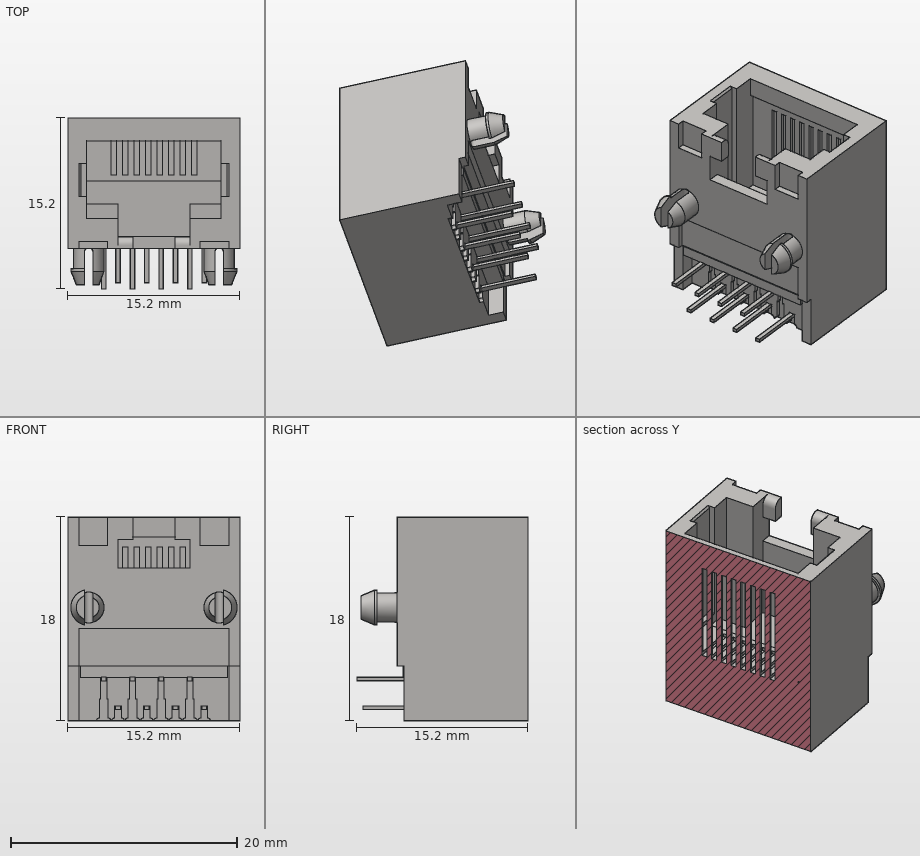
import cadquery as cq


WIDTH = 15.24
HEIGHT = 18.03
DEPTH = 11.58
FOOT_STEP_HEIGHT = 4.83
FOOT_STEP_DEPTH = 0.6

CAVITY_WIDTH = 11.9
CAVITY_FRONT = 2.67
CAVITY_LIP_BACK = 9.54
CAVITY_BACK = 9.9
LIP_BOTTOM = 16.26
REAR_FLOOR = 6.49
FRONT_FLOOR = 5.95
FLOOR_STEP_Y = 5.97
SHELF_LEVEL = 10.82
SHELF_BACK = 3.95

CHANNEL_WIDTH = 6.35
LATCH_WALL = 1.06
SILL_LEVEL = 13.52
TAB_BOTTOM = 16.03
TAB_BACK = 1.03
TAB_GAP = 3.75
TAB_ROUND = 0.72

SIDE_SLOT_WIDTH = 12.95
SIDE_SLOT_FRONT = 4.63
SIDE_SLOT_BACK = 7.54
SIDE_SLOT_CHAMFER = 0.18
SIDE_SLOT_FLOOR = 6.85

CONTACT_COUNT = 8
CONTACT_SPAN = 7.14
CONTACT_WIDTH = 0.47
CONTACT_DEPTH = 0.29
CONTACT_TOP = 15.36
CONTACT_FRONT = 6.5

LIGHT_WIDTH = 2.56
LIGHT_HEIGHT = 2.55
LIGHT_DEPTH = 0.63
LIGHT_X = 5.37

INSERT_WIDTH = 13.27
INSERT_TOP = 8.17
INSERT_DEPTH = 0.43
BAR_WIDTH = 12.96
BAR_BOTTOM = 3.82
BAR_FACE = 0.52
POCKET_BACK = 1.95

PIN_SPAN = 8.89
PIN_WIDTH = 0.41
PIN_THICKNESS = 0.32
PIN_ROOT = 0.36
LONG_PIN_LENGTH = 3.57
LONG_PIN_TOP = 3.85
SHORT_PIN_LENGTH = 3.03
SHORT_PIN_TOP = 1.32
GROOVE_DEPTH = 0.36
GROOVE_FLARE = 0.25
TALL_GROOVE_WIDTH = 0.54
TALL_GROOVE_FOOT_WIDTH = 0.78
TALL_GROOVE_FOOT_TOP = 1.93
SHORT_GROOVE_WIDTH = 0.6

PEG_X = 5.77
PEG_Z = 10.02
PEG_RADIUS = 1.35
PEG_LENGTH = 3.21
PEG_CONE_START = 2.0
PEG_INNER_TIP_RADIUS = 0.92
BARB_START = 1.77
BARB_RADIUS = 1.59
BARB_TIP_RADIUS = 1.1
PEG_SLOT_WIDTH = 0.74
PEG_SLOT_END = 0.07


def block(x_range, y_range, z_range):
    """Box between two limits along each axis."""
    (x0, x1), (y0, y1), (z0, z1) = x_range, y_range, z_range
    return cq.Workplane("XY").box(x1 - x0, y1 - y0, z1 - z0, centered=False).translate((x0, y0, z0))


def middle_block(width, y_range, z_range, x=0.0):
    """Box centred on the given X."""
    return block((x - width / 2, x + width / 2), y_range, z_range)


def row(count, span):
    """Evenly spaced places centred on zero, with the first and last a span apart."""
    return [span * (i / (count - 1) - 0.5) for i in range(count)]


def make_housing():
    step = middle_block(WIDTH, (0, FOOT_STEP_DEPTH), (0, FOOT_STEP_HEIGHT))
    return middle_block(WIDTH, (0, DEPTH), (0, HEIGHT)).cut(step)


def make_cavity():
    """Plug space with its undercut back wall, two floors, corner shelves and side slots."""
    half_slot = SIDE_SLOT_WIDTH / 2
    half_mouth = half_slot + SIDE_SLOT_CHAMFER
    chamfer_z = HEIGHT - SIDE_SLOT_CHAMFER
    side_slots = (
        cq.Workplane("XZ", origin=(0, SIDE_SLOT_BACK, 0))
        .moveTo(-half_slot, SIDE_SLOT_FLOOR)
        .lineTo(half_slot, SIDE_SLOT_FLOOR)
        .lineTo(half_slot, chamfer_z)
        .lineTo(half_mouth, HEIGHT)
        .lineTo(-half_mouth, HEIGHT)
        .lineTo(-half_slot, chamfer_z)
        .close()
        .extrude(SIDE_SLOT_BACK - SIDE_SLOT_FRONT)
    )
    return (
        middle_block(CAVITY_WIDTH, (FLOOR_STEP_Y, CAVITY_LIP_BACK), (REAR_FLOOR, HEIGHT))
        .union(middle_block(CAVITY_WIDTH, (FLOOR_STEP_Y, CAVITY_BACK), (REAR_FLOOR, LIP_BOTTOM)))
        .union(middle_block(CAVITY_WIDTH, (SHELF_BACK, FLOOR_STEP_Y), (FRONT_FLOOR, HEIGHT)))
        .union(middle_block(CAVITY_WIDTH, (CAVITY_FRONT, SHELF_BACK), (SHELF_LEVEL, HEIGHT)))
        .union(middle_block(CHANNEL_WIDTH, (LATCH_WALL, SHELF_BACK), (FRONT_FLOOR, HEIGHT)))
        .union(side_slots)
    )


def make_latch_window():
    """Opening through the latch wall, leaving a tab with a rounded top on each side."""
    window = middle_block(CHANNEL_WIDTH, (0, LATCH_WALL), (SILL_LEVEL, HEIGHT))
    tab_row = middle_block(CHANNEL_WIDTH, (0, TAB_BACK), (TAB_BOTTOM, HEIGHT))
    tab_row = tab_row.edges("|X and >Y and >Z").fillet(TAB_ROUND)
    gap = middle_block(TAB_GAP, (0, TAB_BACK), (TAB_BOTTOM, HEIGHT))
    return window.cut(tab_row.cut(gap))


def make_contact_groove(x):
    """L-shaped groove running down the back wall and forward along the rear floor."""
    groove_bottom = REAR_FLOOR - CONTACT_DEPTH
    groove_back = CAVITY_BACK + CONTACT_DEPTH
    upright = middle_block(CONTACT_WIDTH, (CAVITY_BACK, groove_back), (groove_bottom, CONTACT_TOP), x)
    return upright.union(
        middle_block(CONTACT_WIDTH, (CONTACT_FRONT, CAVITY_BACK), (groove_bottom, REAR_FLOOR), x)
    )


def make_light_window(x):
    return middle_block(LIGHT_WIDTH, (0, LIGHT_DEPTH), (HEIGHT - LIGHT_HEIGHT, HEIGHT), x)


def make_insert_seat():
    """Shallow seat in the board face, opening below into the pin pocket behind a crossbar."""
    seat = middle_block(INSERT_WIDTH, (0, INSERT_DEPTH), (FOOT_STEP_HEIGHT, INSERT_TOP))
    pocket = middle_block(INSERT_WIDTH, (0, POCKET_BACK), (0, FOOT_STEP_HEIGHT))
    return seat.union(pocket)


def make_crossbar():
    return middle_block(BAR_WIDTH, (BAR_FACE, POCKET_BACK), (BAR_BOTTOM, FOOT_STEP_HEIGHT))


def make_pin_groove(x, width, top):
    """Upright groove in the pocket's back wall with a rounded, flared mouth at the foot."""
    half = width / 2
    mouth = half + GROOVE_FLARE
    return (
        cq.Workplane("XZ", origin=(x, POCKET_BACK + GROOVE_DEPTH, 0))
        .moveTo(-mouth, 0)
        .lineTo(mouth, 0)
        .radiusArc((half, GROOVE_FLARE), -GROOVE_FLARE)
        .lineTo(half, top)
        .lineTo(-half, top)
        .lineTo(-half, GROOVE_FLARE)
        .radiusArc((-mouth, 0), -GROOVE_FLARE)
        .close()
        .extrude(GROOVE_DEPTH)
    )


def make_pin(x, top, length):
    root = POCKET_BACK + GROOVE_DEPTH + PIN_ROOT
    return middle_block(PIN_WIDTH, (-length, root), (top - PIN_THICKNESS, top), x)


def turned(profile):
    """Solid of revolution about a peg axis, from (radius, distance from board face) points."""
    return (
        cq.Workplane("XY")
        .polyline([(radius, -distance) for radius, distance in profile])
        .close()
        .revolve(360, (0, 0, 0), (0, 1, 0))
    )


def make_peg():
    """Peg on the Y axis with a barb on its -X half only."""
    plain = turned([
        (0, 0),
        (PEG_RADIUS, 0),
        (PEG_RADIUS, PEG_CONE_START),
        (PEG_INNER_TIP_RADIUS, PEG_LENGTH),
        (0, PEG_LENGTH),
    ])
    barb = turned([
        (0, BARB_START),
        (BARB_RADIUS, BARB_START),
        (BARB_RADIUS, PEG_CONE_START),
        (BARB_TIP_RADIUS, PEG_LENGTH),
        (0, PEG_LENGTH),
    ])
    barb_half = block((-BARB_RADIUS, 0), (-PEG_LENGTH, 0), (-BARB_RADIUS, BARB_RADIUS))
    return plain.union(barb.intersect(barb_half))


def make_peg_slot():
    """Slot splitting the peg, rounded where it ends just inside the board face."""
    half = PEG_SLOT_WIDTH / 2
    round_start = PEG_SLOT_END - half
    split = (
        cq.Workplane("XY")
        .moveTo(-half, -PEG_LENGTH)
        .lineTo(half, -PEG_LENGTH)
        .lineTo(half, round_start)
        .threePointArc((0, PEG_SLOT_END), (-half, round_start))
        .close()
        .extrude(BARB_RADIUS, both=True)
    )
    inside = block((-half, half), (0, PEG_SLOT_END), (-PEG_RADIUS, PEG_RADIUS))
    outside = block((-half, half), (-PEG_LENGTH, 0), (-BARB_RADIUS, BARB_RADIUS))
    return split.intersect(inside.union(outside))


housing = make_housing().cut(make_cavity()).cut(make_latch_window())

for contact_x in row(CONTACT_COUNT, CONTACT_SPAN):
    housing = housing.cut(make_contact_groove(contact_x))

for light_x in (-LIGHT_X, LIGHT_X):
    housing = housing.cut(make_light_window(light_x))

housing = housing.cut(make_insert_seat()).union(make_crossbar())

for index, pin_x in enumerate(row(CONTACT_COUNT, PIN_SPAN)):
    if index % 2 == 0:
        housing = housing.cut(make_pin_groove(pin_x, TALL_GROOVE_FOOT_WIDTH, TALL_GROOVE_FOOT_TOP))
        housing = housing.cut(make_pin_groove(pin_x, TALL_GROOVE_WIDTH, BAR_BOTTOM))
        housing = housing.union(make_pin(pin_x, LONG_PIN_TOP, LONG_PIN_LENGTH))
    else:
        housing = housing.cut(make_pin_groove(pin_x, SHORT_GROOVE_WIDTH, SHORT_PIN_TOP))
        housing = housing.union(make_pin(pin_x, SHORT_PIN_TOP, SHORT_PIN_LENGTH))

left_peg = make_peg().translate((-PEG_X, 0, PEG_Z))
left_slot = make_peg_slot().translate((-PEG_X, 0, PEG_Z))
housing = housing.union(left_peg).union(left_peg.mirror("YZ"))
result = housing.cut(left_slot).cut(left_slot.mirror("YZ"))